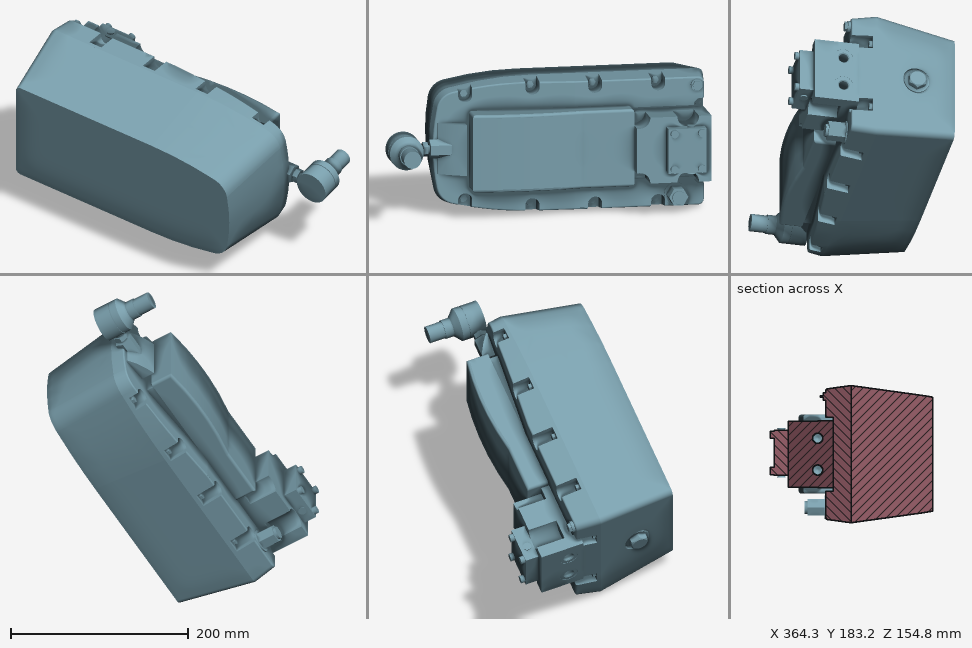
import cadquery as cq
import math

OVERALL_LENGTH = 364.3
HALF_WIDTH = 154.8 / 2
HOUSING_LENGTH = 313.3
PARTING_Y = 92.0
BASE_TOP_Y = 120.5
DRAFT = 12.7 / PARTING_Y
BACK_CORNER_RADIUS = 6.5
SIDE_CURVE_X = 196.5
SHOULDER_X, SHOULDER_Z = 290.0, 66.3
TOE_X, TOE_Z = 308.0, 48.0
CORNER_SAGITTA = 4.0
CORNER_INSET_RATIO = 0.85

SLOPE_START_X = 151.0
SLOPE_FALL = 0.085
TOP_ROUND = 2.0
SEAT_Y = 112.2

POCKET_RADIUS = 8.0
POCKET_FLOOR_Y = 96.5
POCKET_REACH = 36.5
SIDE_POCKETS = [(56.0, 67.8), (128.2, 67.8), (199.3, 67.8), (275.0, 60.5)]
BACK_POCKET_X, BACK_POCKET_Z = 7.3, 41.0
BOLT_HEAD_SIZE = 8.7
BOLT_HEAD_HEIGHT = 3.5

SMALL_PLUG_X, SMALL_PLUG_Z = 12.5, 65.0
SMALL_WASHER_DIAMETER, SMALL_WASHER_HEIGHT = 13.0, 3.3
SMALL_PLUG_SIZE, SMALL_PLUG_HEIGHT = 11.0, 6.5
TALL_PLUG_X, TALL_PLUG_Z = 36.5, -59.7
TALL_WASHER_DIAMETER, TALL_WASHER_HEIGHT = 26.2, 1.5
TALL_PLUG_SIZE, TALL_PLUG_HEIGHT = 22.0, 20.8
TALL_TIP_DIAMETER, TALL_TIP_HEIGHT = 14.5, 23.5
BOSS_BACK_X, BOSS_BACK_Y = 275.8, 125.5
BOSS_MIDDLE_X, BOSS_MIDDLE_Y = 292.0, 118.5
BOSS_FRONT_X, BOSS_FRONT_Y = 306.0, 109.0
BOSS_HALF_WIDTH = 29.0
BOSS_ROOT_Y = 102.0

DRAIN_Y = 44.8
DRAIN_SEAT_X, DRAIN_SEAT_DIAMETER = 8.7, 32.5
DRAIN_COLLAR_X, DRAIN_COLLAR_DIAMETER = 7.3, 28.0
DRAIN_HEX_SIZE = 22.0
DRAIN_HEX_CHAMFER = 2.2

BLOCK_X0, BLOCK_X1 = 3.0, 88.0
BLOCK_TOP_Y = 163.0
BLOCK_HALF_WIDTH = 38.0
RECESS_RADIUS = 12.5
RECESS_FLOOR_Y = 129.3
RECESS_XS = (29.5, 85.2)
PORT_Y, PORT_Z = 129.5, 18.0
PORT_DIAMETER, PORT_DEPTH = 11.0, 22.0
PORT_CHAMFER = 1.0
DRILL_TIP_DEPTH = 3.3
PORT_SEAT_DIAMETER, PORT_SEAT_DEPTH = 21.5, 0.5

VALVE_X0, VALVE_X1 = 11.5, 55.0
VALVE_TOP_Y = 178.5
VALVE_HALF_WIDTH = 25.5
VALVE_SHIFT_Z = 1.5
VALVE_SCREW_XS = (17.0, 48.5)
VALVE_SCREW_Z = 20.5
VALVE_SCREW_DIAMETER = 8.7
SCREW_TOP_Y = 183.2
VALVE_CAP_X, VALVE_CAP_Y = 27.7, 170.5
VALVE_CAP_OUTER_RADIUS, VALVE_CAP_INNER_RADIUS = 4.7, 4.0
VALVE_CAP_HEIGHT = 2.2

HOOD_X1 = 272.5
HOOD_FLAT_Y = 145.7
HOOD_CURVE_X = 146.8
HOOD_CREST_X, HOOD_CREST_Y = 216.7, 151.0
HOOD_END_Y = 146.0
HOOD_HALF_WIDTH = 44.5
HOOD_ROUND = 3.3
HOOD_FOOT_X1 = 266.5
HOOD_FOOT_HALF_WIDTH = HOOD_HALF_WIDTH - HOOD_ROUND

BREATHER_RADIUS = 19.3
BREATHER_X = OVERALL_LENGTH - BREATHER_RADIUS
BREATHER_BOTTOM_Y = 99.8
BREATHER_TOP_Y = 164.3
GROOVE_RADIUS = 18.5
GROOVE_Y0, GROOVE_Y1 = 119.0, 120.2
CONE_Y0, CONE_Y1 = 128.2, 136.0
COLLAR_RADIUS, NECK_RADIUS = 11.0, 10.0
COLLAR_TOP_Y = 145.7
FITTING_Y = 109.3
FITTING_X0, FITTING_X1, FITTING_SIZE = 289.5, 316.0, 22.0
NUT_X0, NUT_X1, NUT_SIZE = 318.0, 324.0, 16.8
STEM_DIAMETER = 9.5


def level(y):
    """Workplane at height y; its local axes are X and Z."""
    return cq.Workplane("XZ", origin=(0, y, 0))


def hex_along_y(x, z, size, y0, y1):
    return level(y0).center(x, z).polygon(6, size).extrude(y0 - y1)


def disc_along_y(x, z, diameter, y0, y1):
    return level(y0).center(x, z).circle(diameter / 2).extrude(y0 - y1)


def hex_along_x(y, size, x0, x1):
    """Hexagonal bar on Z = 0 with two of its corners at +Z and -Z."""
    plane = cq.Workplane("YZ", origin=(x0, y, 0)).transformed(rotate=(0, 0, 90))
    return plane.polygon(6, size).extrude(x1 - x0)


def disc_along_x(y, z, diameter, x0, x1):
    return cq.Workplane("YZ", origin=(x0, y, z)).circle(diameter / 2).extrude(x1 - x0)


def box(x0, x1, y0, y1, half_width):
    """Box symmetric about Z = 0."""
    centre = ((x0 + x1) / 2, (y0 + y1) / 2, 0)
    return cq.Workplane("XY").box(x1 - x0, y1 - y0, 2 * half_width).translate(centre)


def slope_y(x):
    """Height of the sloped front part of the base's top face."""
    return BASE_TOP_Y - SLOPE_FALL * (x - SLOPE_START_X)


def housing_outline(y):
    """Closed wire of the housing's outer wall at height y."""
    inset = DRAFT * abs(y - PARTING_Y)
    half = HALF_WIDTH - inset
    r = BACK_CORNER_RADIUS
    corner_inset = CORNER_INSET_RATIO * inset
    shoulder_x, shoulder_z = SHOULDER_X - corner_inset, SHOULDER_Z - corner_inset
    toe_x, toe_z = TOE_X - corner_inset, TOE_Z - corner_inset
    nose_x = HOUSING_LENGTH - inset
    corner_z = half - r
    run, drop = shoulder_x - SIDE_CURVE_X, half - shoulder_z
    side_radius = (run**2 + drop**2) / (2 * drop)
    side_mid_x = SIDE_CURVE_X + run / 2
    side_mid_z = half - side_radius + math.sqrt(side_radius**2 - (run / 2) ** 2)
    return (
        level(y)
        .moveTo(inset + r, half)
        .lineTo(SIDE_CURVE_X, half)
        .threePointArc((side_mid_x, side_mid_z), (shoulder_x, shoulder_z))
        .sagittaArc((toe_x, toe_z), CORNER_SAGITTA)
        .threePointArc((nose_x, 0), (toe_x, -toe_z))
        .sagittaArc((shoulder_x, -shoulder_z), CORNER_SAGITTA)
        .threePointArc((side_mid_x, -side_mid_z), (SIDE_CURVE_X, -half))
        .lineTo(inset + r, -half)
        .radiusArc((inset, -corner_z), r)
        .lineTo(inset, corner_z)
        .radiusArc((inset + r, half), r)
        .close()
        .val()
    )


def housing_half(y0, y1):
    """Tapered solid between the housing outlines at two heights."""
    return cq.Workplane(cq.Solid.makeLoft([housing_outline(y0), housing_outline(y1)], True))


def make_tank():
    seat = disc_along_x(DRAIN_Y, 0, DRAIN_SEAT_DIAMETER, 0, DRAIN_SEAT_X)
    collar = disc_along_x(DRAIN_Y, 0, DRAIN_COLLAR_DIAMETER, DRAIN_COLLAR_X, DRAIN_SEAT_X)
    envelope = disc_along_x(DRAIN_Y, 0, DRAIN_HEX_SIZE, 0, DRAIN_SEAT_X)
    envelope = envelope.faces("<X").chamfer(DRAIN_HEX_CHAMFER)
    plug = hex_along_x(DRAIN_Y, DRAIN_HEX_SIZE, 0, DRAIN_SEAT_X).intersect(envelope)
    return housing_half(0, PARTING_Y).cut(seat).union(collar).union(plug)


def make_base_shell():
    """Base with its sloped nose and rounded top rim."""
    end_x = HOUSING_LENGTH
    above_slope = (
        cq.Workplane("XY")
        .polyline([(SLOPE_START_X, BASE_TOP_Y), (end_x, slope_y(end_x)), (end_x, BASE_TOP_Y)])
        .close()
        .extrude(HALF_WIDTH, both=True)
    )
    shell = housing_half(PARTING_Y, BASE_TOP_Y).cut(above_slope)
    upward_faces = [face for face in shell.faces().vals() if face.normalAt().y > 0.9]
    upward_edges = [edge for face in upward_faces for edge in face.Edges()]
    rim = [edge for edge in upward_edges if abs(edge.Center().x - SLOPE_START_X) > TOP_ROUND]
    return shell.newObject(rim).fillet(TOP_ROUND)


def pocket(x, z, direction_x, direction_z):
    """Round-ended slot cut down to the bolt flange, open towards the given direction."""
    y0, y1 = POCKET_FLOOR_Y, BASE_TOP_Y
    round_end = disc_along_y(x, z, 2 * POCKET_RADIUS, y0, y1)
    length_x = POCKET_REACH if direction_x else 2 * POCKET_RADIUS
    length_z = POCKET_REACH if direction_z else 2 * POCKET_RADIUS
    shift_x = direction_x * POCKET_REACH / 2
    shift_z = direction_z * POCKET_REACH / 2
    mouth = level(y0).center(x + shift_x, z + shift_z).rect(length_x, length_z).extrude(y0 - y1)
    return round_end.union(mouth)


def cut_bolt_pocket(base, x, z, direction_x, direction_z):
    """Cuts one pocket and leaves a hexagonal bolt head on its floor."""
    head = hex_along_y(x, z, BOLT_HEAD_SIZE, POCKET_FLOOR_Y, POCKET_FLOOR_Y + BOLT_HEAD_HEIGHT)
    return base.cut(pocket(x, z, direction_x, direction_z)).union(head)


def fitting_boss():
    """Curved wedge on the sloped nose around the breather fitting."""
    return (
        cq.Workplane("XY")
        .moveTo(BOSS_BACK_X, BOSS_ROOT_Y)
        .lineTo(BOSS_BACK_X, BOSS_BACK_Y)
        .threePointArc((BOSS_MIDDLE_X, BOSS_MIDDLE_Y), (BOSS_FRONT_X, BOSS_FRONT_Y))
        .lineTo(BOSS_FRONT_X, BOSS_ROOT_Y)
        .close()
        .extrude(BOSS_HALF_WIDTH, both=True)
    )


def small_plug():
    x, z, y = SMALL_PLUG_X, SMALL_PLUG_Z, BASE_TOP_Y
    washer = disc_along_y(x, z, SMALL_WASHER_DIAMETER, y, y + SMALL_WASHER_HEIGHT)
    return washer.union(hex_along_y(x, z, SMALL_PLUG_SIZE, y, y + SMALL_PLUG_HEIGHT))


def tall_plug():
    x, z, y = TALL_PLUG_X, TALL_PLUG_Z, BASE_TOP_Y
    washer = disc_along_y(x, z, TALL_WASHER_DIAMETER, y, y + TALL_WASHER_HEIGHT)
    head = hex_along_y(x, z, TALL_PLUG_SIZE, y, y + TALL_PLUG_HEIGHT)
    tip = disc_along_y(x, z, TALL_TIP_DIAMETER, y, y + TALL_TIP_HEIGHT)
    return washer.union(head).union(tip)


def make_base():
    base = make_base_shell().union(fitting_boss())
    base = base.cut(box(0, HOOD_FOOT_X1, SEAT_Y, BASE_TOP_Y, HOOD_FOOT_HALF_WIDTH))
    for side in (1, -1):
        for x, z in SIDE_POCKETS:
            base = cut_bolt_pocket(base, x, side * z, 0, side)
        base = cut_bolt_pocket(base, BACK_POCKET_X, side * BACK_POCKET_Z, -1, 0)
    base = base.cut(hex_along_x(FITTING_Y, FITTING_SIZE, FITTING_X0, FITTING_X1))
    return base.union(small_plug()).union(tall_plug())


def port_bore(mouth_x):
    """Drilled hole along X from mouth_x, with a chamfered mouth and a conical end."""
    radius = PORT_DIAMETER / 2
    end_x = mouth_x + PORT_DEPTH
    return (
        cq.Workplane("XY")
        .moveTo(mouth_x, 0)
        .lineTo(mouth_x, radius + PORT_CHAMFER)
        .lineTo(mouth_x + PORT_CHAMFER, radius)
        .lineTo(end_x, radius)
        .lineTo(end_x + DRILL_TIP_DEPTH, 0)
        .close()
        .revolve(360, (0, 0, 0), (1, 0, 0))
    )


def make_manifold():
    block = box(BLOCK_X0, BLOCK_X1, SEAT_Y, BLOCK_TOP_Y, BLOCK_HALF_WIDTH)
    for side in (1, -1):
        for x in RECESS_XS:
            z = side * BLOCK_HALF_WIDTH
            block = block.cut(disc_along_y(x, z, 2 * RECESS_RADIUS, RECESS_FLOOR_Y, BLOCK_TOP_Y))
        port_z = side * PORT_Z
        seat_x = BLOCK_X0 + PORT_SEAT_DEPTH
        block = block.cut(disc_along_x(PORT_Y, port_z, PORT_SEAT_DIAMETER, BLOCK_X0, seat_x))
        block = block.cut(port_bore(seat_x).translate((0, PORT_Y, port_z)))
    return block


def valve_cap(side):
    """Short plug on the valve block's side that widens outwards."""
    cone = cq.Solid.makeCone(
        VALVE_CAP_INNER_RADIUS,
        VALVE_CAP_OUTER_RADIUS,
        VALVE_CAP_HEIGHT,
        cq.Vector(VALVE_CAP_X, VALVE_CAP_Y, side * VALVE_HALF_WIDTH),
        cq.Vector(0, 0, side),
    )
    return cq.Workplane(cone)


def make_valve():
    valve = box(VALVE_X0, VALVE_X1, BLOCK_TOP_Y, VALVE_TOP_Y, VALVE_HALF_WIDTH)
    for side in (1, -1):
        for x in VALVE_SCREW_XS:
            screw = disc_along_y(x, side * VALVE_SCREW_Z, VALVE_SCREW_DIAMETER, VALVE_TOP_Y, SCREW_TOP_Y)
            valve = valve.union(screw)
        valve = valve.union(valve_cap(side))
    return valve.translate((0, 0, VALVE_SHIFT_Z))


def make_hood():
    """Rounded hood on a foot that fills the base's seat and then rests on its slope."""
    seat_end_x = SLOPE_START_X + (BASE_TOP_Y - SEAT_Y) / SLOPE_FALL
    shell = (
        cq.Workplane("XY")
        .moveTo(BLOCK_X1, BASE_TOP_Y)
        .lineTo(BLOCK_X1, HOOD_FLAT_Y)
        .lineTo(HOOD_CURVE_X, HOOD_FLAT_Y)
        .threePointArc((HOOD_CREST_X, HOOD_CREST_Y), (HOOD_X1, HOOD_END_Y))
        .lineTo(HOOD_X1, BASE_TOP_Y)
        .close()
        .extrude(HOOD_HALF_WIDTH, both=True)
        .faces(">Z or <Z")
        .edges("not <Y")
        .fillet(HOOD_ROUND)
    )
    foot = (
        cq.Workplane("XY")
        .moveTo(BLOCK_X1, BASE_TOP_Y)
        .lineTo(BLOCK_X1, SEAT_Y)
        .lineTo(seat_end_x, SEAT_Y)
        .lineTo(HOOD_FOOT_X1, slope_y(HOOD_FOOT_X1))
        .lineTo(HOOD_FOOT_X1, BASE_TOP_Y)
        .close()
        .extrude(HOOD_FOOT_HALF_WIDTH, both=True)
    )
    return shell.union(foot)


def make_breather():
    cap = (
        cq.Workplane("XY")
        .polyline(
            [
                (0, BREATHER_BOTTOM_Y),
                (BREATHER_RADIUS, BREATHER_BOTTOM_Y),
                (BREATHER_RADIUS, GROOVE_Y0),
                (GROOVE_RADIUS, GROOVE_Y0),
                (GROOVE_RADIUS, GROOVE_Y1),
                (BREATHER_RADIUS, GROOVE_Y1),
                (BREATHER_RADIUS, CONE_Y0),
                (COLLAR_RADIUS, CONE_Y1),
                (COLLAR_RADIUS, COLLAR_TOP_Y),
                (NECK_RADIUS, COLLAR_TOP_Y),
                (NECK_RADIUS, BREATHER_TOP_Y),
                (0, BREATHER_TOP_Y),
            ]
        )
        .close()
        .revolve(360, (0, 0, 0), (0, 1, 0))
        .translate((BREATHER_X, 0, 0))
    )
    stem = disc_along_x(FITTING_Y, 0, STEM_DIAMETER, FITTING_X1, BREATHER_X)
    fitting = hex_along_x(FITTING_Y, FITTING_SIZE, FITTING_X0, FITTING_X1)
    nut = hex_along_x(FITTING_Y, NUT_SIZE, NUT_X0, NUT_X1)
    return cap.union(stem).union(fitting).union(nut)


tank = make_tank()
base = make_base()
manifold = make_manifold()
valve = make_valve()
hood = make_hood()
breather = make_breather()
bodies = [tank, base, manifold, valve, hood, breather]
result = cq.Compound.makeCompound([body.solids().val() for body in bodies])